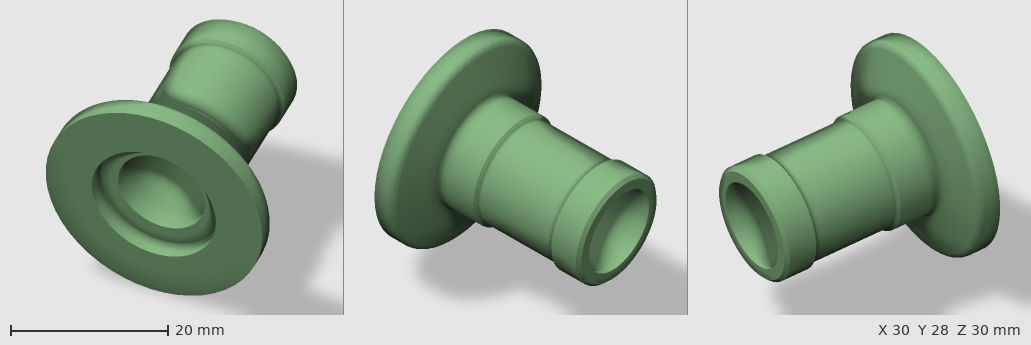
import cadquery as cq
import math

flange_diameter = 30.0
length = 28.0
bore_diameter = 12.0

rim_corner_y = 3.0
cone_angle = 15.0
rim_round = 1.0
cone_root_round = 0.5

collar_diameter = 16.0
neck_diameter = 15.0
collar_step = (collar_diameter - neck_diameter) / 2
flange_collar_end_y = 11.0
end_collar_width = 5.0
end_collar_start_y = length - end_collar_width

seat_diameter = 17.2
seat_depth = 2.5
seat_round = 0.25

flange_radius = flange_diameter / 2
collar_radius = collar_diameter / 2
neck_radius = neck_diameter / 2
cone_root_y = rim_corner_y + (flange_radius - collar_radius) * math.tan(math.radians(cone_angle))


def circle_edge_at(radius, y):
    """Select the circular edge of the given radius at height y along the axis."""
    reach = 0.03
    return cq.selectors.BoxSelector(
        (-radius - reach, y - reach, -radius - reach),
        (radius + reach, y + reach, radius + reach),
        boundingbox=True,
    )


def make_body():
    """Revolve the outer profile and round both ends of the flange cone."""
    profile = [
        (0, 0),
        (flange_radius, 0),
        (flange_radius, rim_corner_y),
        (collar_radius, cone_root_y),
        (collar_radius, flange_collar_end_y - collar_step),
        (neck_radius, flange_collar_end_y),
        (neck_radius, end_collar_start_y),
        (collar_radius, end_collar_start_y + collar_step),
        (collar_radius, length - collar_step),
        (neck_radius, length),
        (0, length),
    ]
    body = cq.Workplane("XY").polyline(profile).close().revolve(360, (0, 0), (0, 1))
    body = body.edges(circle_edge_at(flange_radius, rim_corner_y)).fillet(rim_round)
    return body.edges(circle_edge_at(collar_radius, cone_root_y)).fillet(cone_root_round)


def cylinder_along_y(diameter, height):
    """Make a cylinder that starts on the flange face and runs toward +Y."""
    return cq.Workplane("XZ").circle(diameter / 2).extrude(-height)


def make_seat():
    """Make the recess cutter, rounded where its wall meets its floor."""
    return cylinder_along_y(seat_diameter, seat_depth).faces(">Y").edges().fillet(seat_round)


bore = cylinder_along_y(bore_diameter, length)
result = make_body().cut(bore).cut(make_seat())